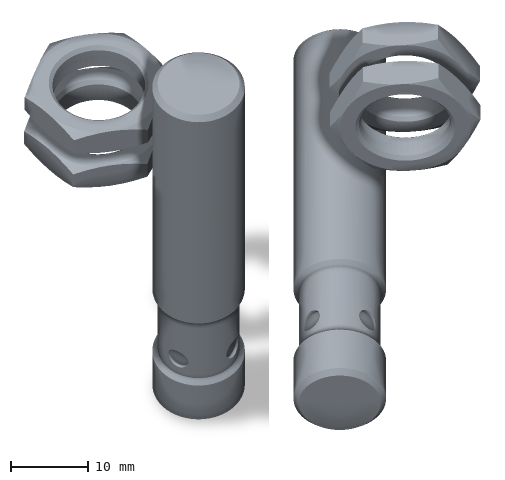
import cadquery as cq
import math

barrel_length = 60.0
barrel_radius = 12.0 / 2
neck_radius = 10.6 / 2
edge_chamfer = barrel_radius - neck_radius
neck_bottom = 8.05
neck_top = 18.9

window_count = 4
window_diameter = 3.0
window_depth = 0.5
window_height = 11.0
window_first_angle = 18.5

nut_across_flats = 16.9
nut_across_corners = nut_across_flats / math.cos(math.radians(30))
nut_thickness = 4.0
nut_bore_diameter = 12.0
nut_bore_chamfer = 0.5
nut_corner_chamfer_angle = 30.0
lower_nut_bottom = 30.9
upper_nut_bottom = 37.75
overall_width = 36.5
upper_nut_shift = 0.1
lower_nut_x = barrel_radius + nut_across_corners / 2 - overall_width
upper_nut_x = lower_nut_x + upper_nut_shift
nut_y = 0.65


def make_barrel():
    """Rod with chamfered ends and a narrower neck between conical shoulders."""
    profile = [
        (0, 0),
        (neck_radius, 0),
        (barrel_radius, edge_chamfer),
        (barrel_radius, neck_bottom - edge_chamfer),
        (neck_radius, neck_bottom),
        (neck_radius, neck_top),
        (barrel_radius, neck_top + edge_chamfer),
        (barrel_radius, barrel_length - edge_chamfer),
        (neck_radius, barrel_length),
        (0, barrel_length),
    ]
    barrel = cq.Workplane("XZ").polyline(profile).close().revolve(360, (0, 0), (0, 1))
    for index in range(window_count):
        angle = window_first_angle + index * 360 / window_count
        barrel = barrel.cut(make_window_cutter(angle))
    return barrel


def make_window_cutter(angle):
    """Radial cylinder that sinks one flat-bottomed window into the neck."""
    return (
        cq.Workplane("YZ", origin=(neck_radius - window_depth, 0, 0))
        .center(0, window_height)
        .circle(window_diameter / 2)
        .extrude(2 * window_depth)
        .rotate((0, 0, 0), (0, 0, 1), angle)
    )


def make_nut(center_x, bottom):
    """Hexagonal nut with its corners turned off conically and its bore chamfered."""
    hexagon = cq.Workplane("XY").polygon(6, nut_across_corners).extrude(nut_thickness)

    face_radius = nut_across_flats / 2
    corner_radius = nut_across_corners / 2
    corner_drop = (corner_radius - face_radius) * math.tan(math.radians(nut_corner_chamfer_angle))
    turned_profile = [
        (0, 0),
        (face_radius, 0),
        (corner_radius, corner_drop),
        (corner_radius, nut_thickness - corner_drop),
        (face_radius, nut_thickness),
        (0, nut_thickness),
    ]
    turned_blank = cq.Workplane("XZ").polyline(turned_profile).close().revolve(360, (0, 0), (0, 1))

    bore_radius = nut_bore_diameter / 2
    mouth_radius = bore_radius + nut_bore_chamfer
    bore_profile = [
        (0, 0),
        (mouth_radius, 0),
        (bore_radius, nut_bore_chamfer),
        (bore_radius, nut_thickness - nut_bore_chamfer),
        (mouth_radius, nut_thickness),
        (0, nut_thickness),
    ]
    bore = cq.Workplane("XZ").polyline(bore_profile).close().revolve(360, (0, 0), (0, 1))

    return hexagon.intersect(turned_blank).cut(bore).translate((center_x, nut_y, bottom))


barrel = make_barrel()
nut_places = [(lower_nut_x, lower_nut_bottom), (upper_nut_x, upper_nut_bottom)]
nuts = [make_nut(center_x, bottom) for center_x, bottom in nut_places]

result = cq.Compound.makeCompound([barrel.val(), *[nut.val() for nut in nuts]])